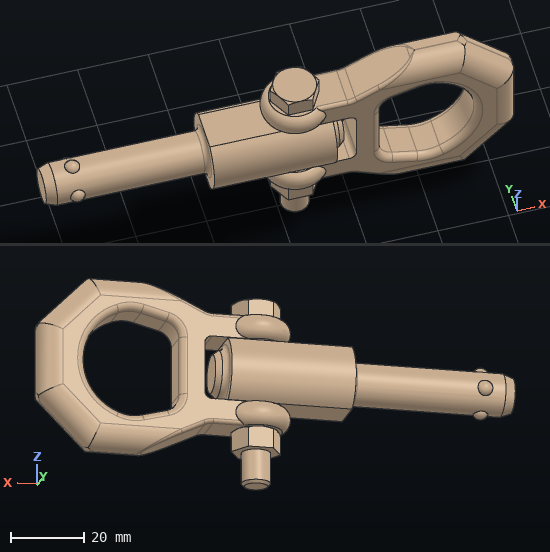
import cadquery as cq
import math


tip_x = -71.7
shank_radius = 6.0
tip_radius = 5.0
tip_taper_length = 3.0
collar_fillet = 1.5
barrel_start_x = -25.6
barrel_end_x = 9.2
barrel_radius = 10.7
barrel_half_height = 9.0
button_radius = 6.7
button_fillet = 1.7
button_tip_radius = 5.3
button_length = 3.3
ball_x = -63.0
ball_radius = 2.3
ball_tip_radius = 7.3
ball_count = 4

thickness = 12.5
arm_outer_z = 15.8
bend_x = 14.5
bend_radius = 5.3
shoulder_x = 33.0
eye_half_height = 24.5
eye_end_x = 61.8
eye_end_half_height = 10.4
eye_corner_x = eye_end_x - (eye_half_height - eye_end_half_height)
corner_radius = 4.0
rim_flat_width = 0.1
rim_round = (thickness - rim_flat_width) / 2
flank_edge_round = 1.1
slot_end_x = 15.8
slot_corner_radius = 2.0
opening_start_x = 22.7
opening_end_x = 49.5
opening_corner_radius = 4.8
opening_corner_z = 8.1
opening_side_angle = math.radians(14.5)
opening_crown = (36.5, 15.0)
opening_crown_start_x = 33.4
opening_crown_end = (39.8, 14.2)
opening_rim_round = 2.0
boss_radius = 9.5
boss_face_radius = 7.2

pick_margin = 1.3

bolt_radius = 4.0
bolt_end_z = -31.2
bolt_chamfer = 0.8
hex_across_flats = 12.0
hex_chamfer_angle = math.radians(30)
head_height = 5.0
nut_height = 6.0


def make_shank_barrel_and_button():
    """Turned profile of the shank, with the flat-sided barrel and the button at its end."""
    shank = (
        cq.Workplane("XZ")
        .moveTo(tip_x, 0)
        .lineTo(tip_x, tip_radius)
        .lineTo(tip_x + tip_taper_length, shank_radius)
        .lineTo(barrel_start_x - collar_fillet, shank_radius)
        .radiusArc((barrel_start_x, shank_radius + collar_fillet), -collar_fillet)
        .lineTo(barrel_start_x, 0)
        .close()
        .revolve(360, (0, 0, 0), (1, 0, 0))
    )
    button = (
        cq.Workplane("XZ")
        .moveTo(barrel_end_x, 0)
        .lineTo(barrel_end_x, button_radius + button_fillet)
        .radiusArc((barrel_end_x + button_fillet, button_radius), -button_fillet)
        .lineTo(barrel_end_x + button_length, button_tip_radius)
        .lineTo(barrel_end_x + button_length, 0)
        .close()
        .revolve(360, (0, 0, 0), (1, 0, 0))
    )
    barrel_length = barrel_end_x - barrel_start_x
    barrel = cq.Workplane("YZ", origin=(barrel_start_x, 0, 0)).circle(barrel_radius).extrude(barrel_length)
    flats = (
        cq.Workplane("YZ", origin=(barrel_start_x, 0, 0))
        .rect(2 * barrel_radius, 2 * barrel_half_height)
        .extrude(barrel_length)
    )
    return barrel.intersect(flats).union(shank).union(button)


def make_pin():
    """Complete pin with its ring of locking balls and the cross hole for the hinge bolt."""
    pin = make_shank_barrel_and_button()
    ball = cq.Workplane("XY").sphere(ball_radius).translate((ball_x, 0, ball_tip_radius - ball_radius))
    for index in range(ball_count):
        pin = pin.union(ball.rotate((0, 0, 0), (1, 0, 0), index * 360 / ball_count))
    bolt_hole = cq.Workplane("XY").circle(bolt_radius).extrude(barrel_radius, both=True)
    return pin.cut(bolt_hole)


def plate(outline):
    """Closed XZ outline thickened evenly about the Y = 0 plane."""
    return outline.extrude(thickness / 2, both=True)


def make_eye_blank():
    """Rounded bar stock whose far end is half an octagon; its near end lies on the bolt axis."""
    outline = cq.Workplane("XZ").polyline([
        (0, -eye_half_height),
        (eye_corner_x, -eye_half_height),
        (eye_end_x, -eye_end_half_height),
        (eye_end_x, eye_end_half_height),
        (eye_corner_x, eye_half_height),
        (0, eye_half_height),
    ]).close()
    near_end = cq.selectors.BoxSelector(
        (-pick_margin, -thickness, -eye_half_height), (pick_margin, thickness, eye_half_height))
    rim = plate(outline).faces("<Y or >Y").edges().edges(cq.selectors.InverseSelector(near_end))
    return rim.fillet(rim_round)


def make_profile():
    """Outline of the whole shackle: arms, spreading flanks and eye, with its corners rounded."""
    profile = plate(cq.Workplane("XZ").polyline([
        (0, -arm_outer_z),
        (bend_x, -arm_outer_z),
        (shoulder_x, -eye_half_height),
        (eye_corner_x, -eye_half_height),
        (eye_end_x, -eye_end_half_height),
        (eye_end_x, eye_end_half_height),
        (eye_corner_x, eye_half_height),
        (shoulder_x, eye_half_height),
        (bend_x, arm_outer_z),
        (0, arm_outer_z),
    ]).close())
    bends = cq.selectors.BoxSelector(
        (bend_x - pick_margin, -thickness, -eye_half_height),
        (bend_x + pick_margin, thickness, eye_half_height),
    )
    corners = cq.selectors.BoxSelector(
        (shoulder_x - pick_margin, -thickness, -eye_half_height - pick_margin),
        (eye_end_x + pick_margin, thickness, eye_half_height + pick_margin),
    )
    profile = profile.edges("|Y").edges(bends).fillet(bend_radius)
    return profile.edges("|Y").edges(corners).fillet(corner_radius)


def make_opening():
    """D-shaped opening: flat near side, sloping sides, and a round far side."""
    corner_end_x = opening_start_x + opening_corner_radius * (1 - math.sin(opening_side_angle))
    corner_end_z = opening_corner_z + opening_corner_radius * math.cos(opening_side_angle)
    crown_start_z = corner_end_z + (opening_crown_start_x - corner_end_x) * math.tan(opening_side_angle)
    crown_x, crown_z = opening_crown
    crown_end_x, crown_end_z = opening_crown_end
    return plate(
        cq.Workplane("XZ")
        .moveTo(opening_start_x, -opening_corner_z)
        .lineTo(opening_start_x, opening_corner_z)
        .radiusArc((corner_end_x, corner_end_z), opening_corner_radius)
        .lineTo(opening_crown_start_x, crown_start_z)
        .threePointArc((crown_x, crown_z), (crown_end_x, crown_end_z))
        .threePointArc((opening_end_x, 0), (crown_end_x, -crown_end_z))
        .threePointArc((crown_x, -crown_z), (opening_crown_start_x, -crown_start_z))
        .lineTo(corner_end_x, -corner_end_z)
        .radiusArc((opening_start_x, -opening_corner_z), opening_corner_radius)
        .close()
    )


def make_slot():
    """Gap between the arms that holds the barrel of the pin."""
    slot = cq.Workplane("XY").box(2 * slot_end_x, 2 * thickness, 2 * barrel_half_height)
    return slot.edges("|Y").fillet(slot_corner_radius)


def make_boss():
    """Round-edged disc on the upper arm around the bolt."""
    middle_z = (barrel_half_height + arm_outer_z) / 2
    return (
        cq.Workplane("XZ")
        .moveTo(0, barrel_half_height)
        .lineTo(boss_face_radius, barrel_half_height)
        .threePointArc((boss_radius, middle_z), (boss_face_radius, arm_outer_z))
        .lineTo(0, arm_outer_z)
        .close()
        .revolve(360, (0, 0, 0), (0, 1, 0))
    )


def make_hexagon(height):
    """Hexagonal prism standing on Z = 0, its upper corners turned off at a shallow angle."""
    point_radius = hex_across_flats / math.sqrt(3)
    face_radius = hex_across_flats / 2
    corner_drop = (point_radius - face_radius) * math.tan(hex_chamfer_angle)
    turned = (
        cq.Workplane("XZ")
        .polyline([
            (0, 0),
            (point_radius, 0),
            (point_radius, height - corner_drop),
            (face_radius, height),
            (0, height),
        ])
        .close()
        .revolve(360, (0, 0, 0), (0, 1, 0))
    )
    return cq.Workplane("XY").polygon(6, 2 * point_radius).extrude(height).intersect(turned)


def make_bolt():
    """Bolt shank through both arms, with its head on top and its nut below."""
    shank_length = arm_outer_z - bolt_end_z
    shank = cq.Workplane("XY", origin=(0, 0, bolt_end_z)).circle(bolt_radius).extrude(shank_length)
    shank = shank.faces("<Z").chamfer(bolt_chamfer)
    head = make_hexagon(head_height).translate((0, 0, arm_outer_z))
    nut = make_hexagon(nut_height).translate((0, 0, -arm_outer_z - nut_height))
    return shank.union(head).union(nut)


def round_flank_edges(body):
    """Round the long edges of the arms and flanks, one side above and one below the pin axis."""
    low_z, high_z = arm_outer_z / 2, eye_half_height + pick_margin
    upper, lower = (
        cq.selectors.BoxSelector(
            (-pick_margin, -thickness, side * low_z),
            (shoulder_x + pick_margin, thickness, side * high_z),
            boundingbox=True,
        )
        for side in (1, -1)
    )
    return body.edges(upper + lower).edges("not |Y").fillet(flank_edge_round)


def round_opening_rim(body):
    """Round both edges of the opening; the slot end and the crown height bound the edges picked."""
    crown_z = opening_crown[1]
    around_opening = cq.selectors.BoxSelector(
        (slot_end_x, -thickness, -crown_z), (opening_end_x, thickness, crown_z))
    return body.faces("<Y or >Y").edges(around_opening).fillet(opening_rim_round)


def make_shackle():
    """Eye and arms with a boss on each arm, and the hinge bolt that spans them."""
    body = make_eye_blank().intersect(make_profile())
    body = round_flank_edges(body)
    body = body.cut(make_opening())
    body = round_opening_rim(body).cut(make_slot())
    boss = make_boss()
    body = body.union(boss).union(boss.mirror("XY"))
    return body.union(make_bolt())


pin = make_pin()
shackle = make_shackle()
result = cq.Compound.makeCompound([*pin.solids().vals(), *shackle.solids().vals()])